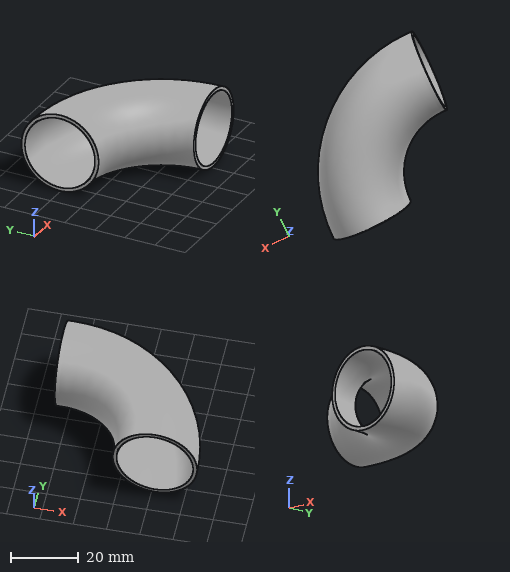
import cadquery as cq

outer_diameter = 25.4
bore_diameter = 23.0

bend_radius = 33.0
bend_angle = 90

collar_tilt = 1.3
collar_length = 1.25
hinge_y = 19.0
hinge_radius = bend_radius - hinge_y


def pipe_section(radius):
    """Pipe ring in the XZ plane, its centre at the given distance from the Z axis."""
    return (
        cq.Workplane("XZ")
        .center(radius, 0)
        .circle(outer_diameter / 2)
        .circle(bore_diameter / 2)
    )


def pipe_bend(radius, angle):
    """Pipe bent about the Z axis, from +X toward +Y."""
    return pipe_section(radius).revolve(angle, (-radius, 0), (-radius, 1))


def place_at_elbow_end(body, tilt):
    """Turn a body to the elbow's -X end, tilted further about the hinge."""
    return body.rotate((0, 0, 0), (0, 0, 1), bend_angle + tilt).translate((0, hinge_y, 0))


elbow = pipe_bend(bend_radius, bend_angle)
tapered_ring = place_at_elbow_end(pipe_bend(hinge_radius, collar_tilt), 0)

straight_pipe = pipe_section(hinge_radius).extrude(-collar_length)
collar = place_at_elbow_end(straight_pipe, collar_tilt)

result = elbow.union(tapered_ring).union(collar)